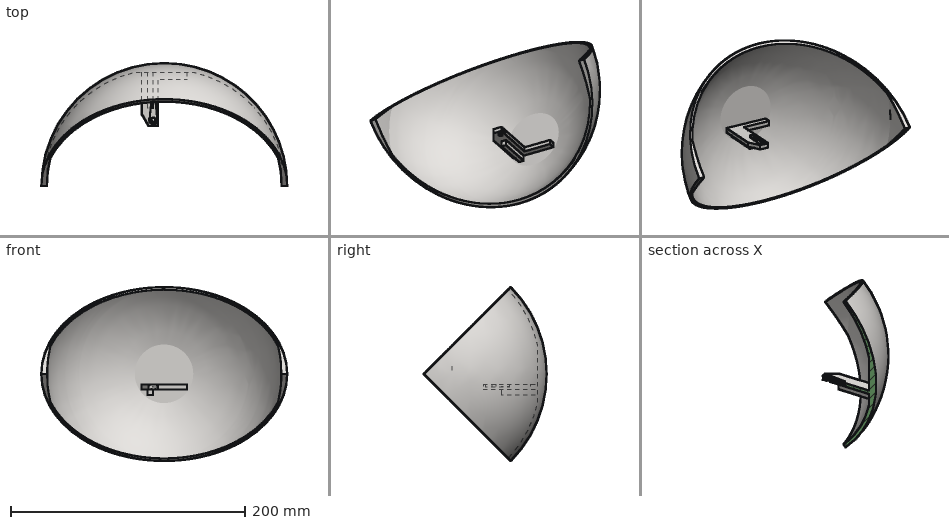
import cadquery as cq
import math

OUTER_RADIUS = 105.0
WEDGE_ANGLE = 90.0
SKIRT_RADIUS = 100.0
SKIRT_DEPTH = 24.0
DOME_RADIUS = 100.0
CAVITY_FLOOR_Y = 97.0
CAVITY_FLOOR_RADIUS = 25.0

PLATE_TOP_Z = -9.0
PLATE_THICKNESS = 4.0
PLATE_LEFT_X = -19.4
PLATE_LENGTH_X = 39.0
FOOT_WIDTH = 6.0
ARM_WIDTH = 14.0
ARM_TIP_Y = 51.2
CORNER_CUT_LENGTH = 10.4
CORNER_CUT_ANGLE = 30.0

HORN_X = -9.25
HUB_Y = 56.5
HUB_RADIUS = 3.6
SCREW_HOLE_DIAMETER = 3.5
HORN_ROOT_HALF_WIDTH = 3.3
HORN_TIP_RADIUS = 1.9
HORN_TIP_Y = 71.3
HORN_DEPTH = 2.0

RIB_LEFT_X = -14.2
RIB_WIDTH = 4.5
RIB_DROP = 5.0
RIB_FRONT_Y = 66.5
RIB_RISE = 0.3

EMBED = 1.0

plate_bottom_z = PLATE_TOP_Z - PLATE_THICKNESS
seat_floor_z = PLATE_TOP_Z - HORN_DEPTH
root_y = CAVITY_FLOOR_Y + EMBED


def make_cavity():
    """Cavity revolved about Y: straight skirt, domed wall and flat floor."""
    return (
        cq.Workplane("XY")
        .lineTo(SKIRT_RADIUS, 0)
        .lineTo(SKIRT_RADIUS, SKIRT_DEPTH)
        .radiusArc((CAVITY_FLOOR_RADIUS, CAVITY_FLOOR_Y), -DOME_RADIUS)
        .lineTo(0, CAVITY_FLOOR_Y)
        .close()
        .revolve(360, (0, 0, 0), (0, 1, 0))
    )


def make_wedge():
    """Triangular prism along X that bounds the quarter of the ball."""
    half_height = OUTER_RADIUS * math.tan(math.radians(WEDGE_ANGLE / 2))
    return (
        cq.Workplane("YZ")
        .polyline([(0, 0), (OUTER_RADIUS, half_height), (OUTER_RADIUS, -half_height)])
        .close()
        .extrude(OUTER_RADIUS, both=True)
    )


def make_shell():
    """Wedge of the hollow ball, opening toward -Y."""
    half_ball = (
        cq.Workplane("XY")
        .lineTo(OUTER_RADIUS, 0)
        .radiusArc((0, OUTER_RADIUS), -OUTER_RADIUS)
        .close()
        .revolve(360, (0, 0, 0), (0, 1, 0))
    )
    return half_ball.cut(make_cavity()).intersect(make_wedge())


def make_plate():
    """L-shaped plate: a foot along X and an arm toward -Y with one cut corner."""
    arm_right_x = PLATE_LEFT_X + ARM_WIDTH
    foot_right_x = PLATE_LEFT_X + PLATE_LENGTH_X
    foot_front_y = CAVITY_FLOOR_Y - FOOT_WIDTH
    corner_cut_width = CORNER_CUT_LENGTH * math.tan(math.radians(CORNER_CUT_ANGLE))
    outline = [
        (PLATE_LEFT_X, root_y),
        (PLATE_LEFT_X, ARM_TIP_Y + CORNER_CUT_LENGTH),
        (PLATE_LEFT_X + corner_cut_width, ARM_TIP_Y),
        (arm_right_x, ARM_TIP_Y),
        (arm_right_x, foot_front_y),
        (foot_right_x, foot_front_y),
        (foot_right_x, root_y),
    ]
    return (
        cq.Workplane("XY", origin=(0, 0, plate_bottom_z))
        .polyline(outline)
        .close()
        .extrude(PLATE_THICKNESS)
    )


def make_horn_seat():
    """Round hub and tapered, round-ended arm of the servo horn."""
    seat_plane = cq.Workplane("XY", origin=(HORN_X, HUB_Y, seat_floor_z))
    reach = HORN_TIP_Y - HUB_Y
    hub = seat_plane.circle(HUB_RADIUS).extrude(HORN_DEPTH)
    horn = (
        seat_plane.moveTo(-HORN_ROOT_HALF_WIDTH, 0)
        .lineTo(-HORN_TIP_RADIUS, reach)
        .threePointArc((0, reach + HORN_TIP_RADIUS), (HORN_TIP_RADIUS, reach))
        .lineTo(HORN_ROOT_HALF_WIDTH, 0)
        .close()
        .extrude(HORN_DEPTH)
    )
    return hub.union(horn)


def make_screw_hole():
    """Screw hole through the plate at the hub centre."""
    return (
        cq.Workplane("XY", origin=(HORN_X, HUB_Y, plate_bottom_z))
        .circle(SCREW_HOLE_DIAMETER / 2)
        .extrude(PLATE_THICKNESS)
    )


def make_rib():
    """Straight rib under the arm, running into the cavity floor."""
    rib_bottom_z = plate_bottom_z - RIB_DROP
    rib_height = seat_floor_z + RIB_RISE - rib_bottom_z
    rib_length = root_y - RIB_FRONT_Y
    return (
        cq.Workplane("XY", origin=(RIB_LEFT_X, RIB_FRONT_Y, rib_bottom_z))
        .box(RIB_WIDTH, rib_length, rib_height, centered=False)
    )


bracket = make_plate().cut(make_horn_seat()).cut(make_screw_hole()).union(make_rib())
result = make_shell().union(bracket)